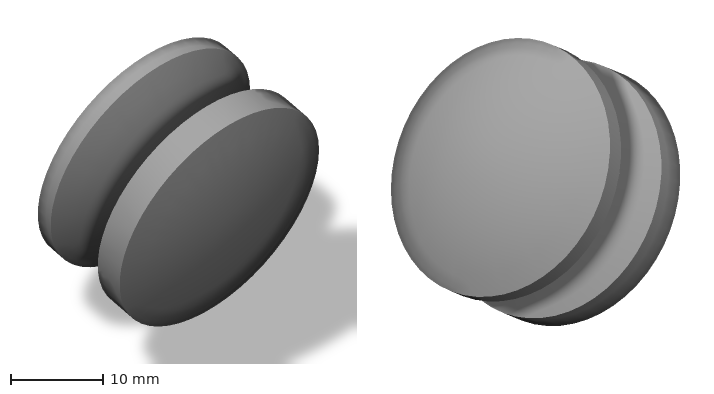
import cadquery as cq

lens_diameter = 28.93
lens_radius = lens_diameter / 2
lens_gap = 1.27

strong_rim_width = 2.1
strong_crown_height = 4.0

gentle_rim_width = 3.6
gentle_crown_height = 2.43


def biconvex_lens(front_x, rim_width, crown_height):
    """Revolve a lens about X: a cylindrical rim between two equal spherical crowns."""
    rim_front_x = front_x + crown_height
    rim_back_x = rim_front_x + rim_width
    back_x = rim_back_x + crown_height

    sphere_radius = (lens_radius**2 + crown_height**2) / (2 * crown_height)
    mid_radius = lens_radius / 2
    mid_depth = sphere_radius - (sphere_radius**2 - mid_radius**2) ** 0.5

    return (
        cq.Workplane("XY")
        .moveTo(front_x, 0)
        .threePointArc((front_x + mid_depth, mid_radius), (rim_front_x, lens_radius))
        .lineTo(rim_back_x, lens_radius)
        .threePointArc((back_x - mid_depth, mid_radius), (back_x, 0))
        .close()
        .revolve(360, (0, 0, 0), (1, 0, 0))
    )


strong_lens_thickness = strong_rim_width + 2 * strong_crown_height
gentle_lens_x = strong_lens_thickness + lens_gap

strong_lens = biconvex_lens(0, strong_rim_width, strong_crown_height)
gentle_lens = biconvex_lens(gentle_lens_x, gentle_rim_width, gentle_crown_height)

result = cq.Compound.makeCompound([strong_lens.val(), gentle_lens.val()])